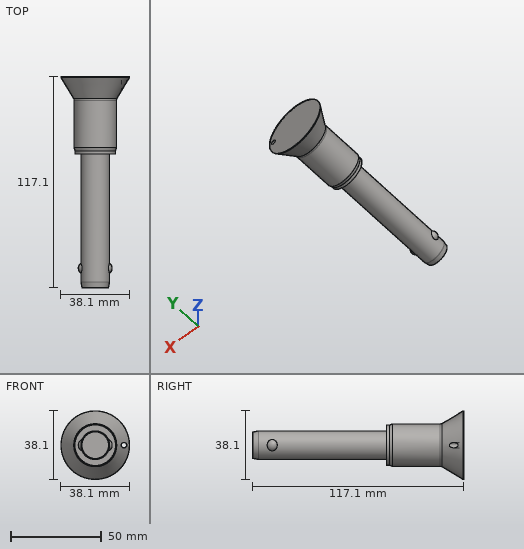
import cadquery as cq

length = 117.1

head_radius = 19.03
rim_thickness = 0.6
flare_end = 12.3
blend_end = 13.3
neck_radius = 12.0
grip_radius = 11.8
grip_end = 39.5
bevel_end = 41.2
collar_end = 43.0
collar_radius = 11.2

shank_radius = 8.0
tip_radius = 7.4
tip_taper = 3.2

ball_radius = 3.4
ball_reach = 9.43
ball_to_tip = 10.9

hole_diameter = 2.9
hole_offset = 15.9

rear = length / 2
tip = -length / 2


def make_body():
    """Revolve the half profile of head, grip and shank about the Y axis."""
    profile = [
        (0, rear),
        (head_radius, rear),
        (head_radius, rear - rim_thickness),
        (neck_radius, rear - flare_end),
        (grip_radius, rear - blend_end),
        (grip_radius, rear - grip_end),
        (collar_radius, rear - bevel_end),
        (collar_radius, rear - collar_end),
        (shank_radius, rear - collar_end),
        (shank_radius, tip + tip_taper),
        (tip_radius, tip),
        (0, tip),
    ]
    return cq.Workplane("XY").polyline(profile).close().revolve(360, (0, 0, 0), (0, 1, 0))


def make_ball(side):
    """Ball on the +X (side = 1) or -X (side = -1) flank of the shank."""
    center_x = side * (ball_reach - ball_radius)
    return cq.Workplane("XY").sphere(ball_radius).translate((center_x, tip + ball_to_tip, 0))


def make_lanyard_hole():
    """Cutter parallel to the pin axis, running through the flare."""
    return (
        cq.Workplane("XZ", origin=(hole_offset, rear, 0))
        .circle(hole_diameter / 2)
        .extrude(flare_end)
    )


result = make_body()
for side in (-1, 1):
    result = result.union(make_ball(side))
result = result.cut(make_lanyard_hole())